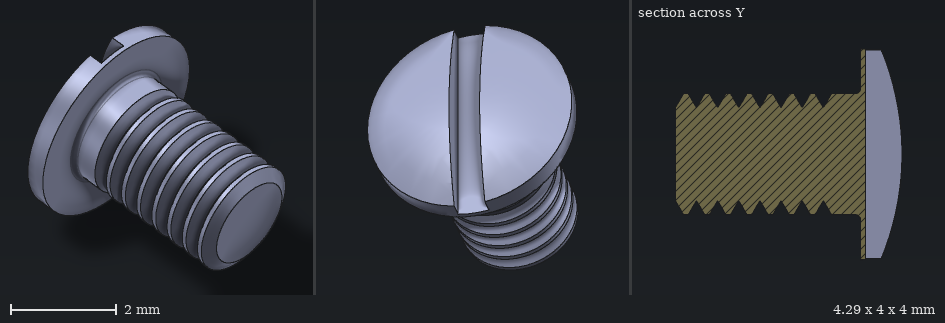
import cadquery as cq
import math


head_diameter = 4.0
rim_thickness = 0.4
crown_height = 0.4
slot_width = 0.6
slot_depth = 0.7

shank_diameter = 2.3
shank_length = 3.5
neck_fillet_radius = 0.1
thread_pitch = 0.4
crest_width = thread_pitch / 4
thread_angle = 60.0
groove_count = 7

head_radius = head_diameter / 2
shank_radius = shank_diameter / 2
apex_x = -(rim_thickness + crown_height)
crown_radius = (head_radius**2 + crown_height**2) / (2 * crown_height)
half_groove = (thread_pitch - crest_width) / 2
groove_depth = half_groove / math.tan(math.radians(thread_angle / 2))
root_radius = shank_radius - groove_depth


def make_head():
    """Domed disc: a cylindrical rim capped by a spherical crown."""
    mid_radius = head_radius / 2
    crown_centre_x = apex_x + crown_radius
    mid_x = crown_centre_x - math.sqrt(crown_radius**2 - mid_radius**2)
    profile = (
        cq.Workplane("XY")
        .moveTo(apex_x, 0)
        .threePointArc((mid_x, mid_radius), (-rim_thickness, head_radius))
        .lineTo(0, head_radius)
        .lineTo(0, 0)
        .close()
    )
    return profile.revolve(360, (0, 0, 0), (1, 0, 0))


def make_shank():
    """Threaded shank with a concave fillet where it meets the head."""
    overlap_x = -rim_thickness / 2
    fillet_top = shank_radius + neck_fillet_radius
    profile = (
        cq.Workplane("XY")
        .moveTo(overlap_x, 0)
        .lineTo(overlap_x, fillet_top)
        .lineTo(0, fillet_top)
        .radiusArc((neck_fillet_radius, shank_radius), -neck_fillet_radius)
    )
    for index in range(groove_count):
        root_x = shank_length - (groove_count - index) * thread_pitch
        profile = (
            profile.lineTo(root_x - half_groove, shank_radius)
            .lineTo(root_x, root_radius)
            .lineTo(root_x + half_groove, shank_radius)
        )
    profile = (
        profile.lineTo(shank_length - half_groove, shank_radius)
        .lineTo(shank_length, root_radius)
        .lineTo(shank_length, 0)
        .close()
    )
    return profile.revolve(360, (0, 0, 0), (1, 0, 0))


def make_slot():
    """Screwdriver slot across the full head, running along Z."""
    return (
        cq.Workplane("XY")
        .box(slot_depth, slot_width, head_diameter, centered=(False, True, True))
        .translate((apex_x, 0, 0))
    )


result = make_head().union(make_shank()).cut(make_slot())